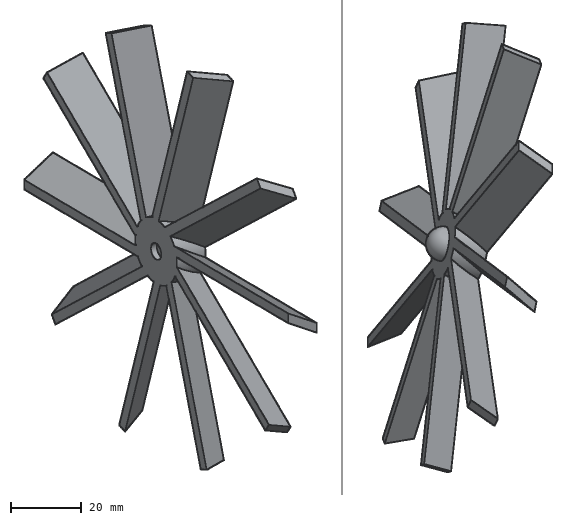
import cadquery as cq
import math

tip_radius = 63.5
blade_count = 10
blade_pitch = 30.0
blade_width = 3.0
blade_front_offset = 5.0
hub_thickness = 10.0
hub_radius = 10.0
dome_radius = 5.0
bore_diameter = 5.0
bore_depth = 2.0


def front_disc(radius, depth):
    """Cylinder on the rotor axis, from the front face rearwards."""
    return cq.Workplane("XZ").circle(radius).extrude(-depth)


def make_blade():
    """Blade along +X with a slanted parallelogram section."""
    rear_shift = hub_thickness * math.tan(math.radians(blade_pitch))
    front_top = blade_front_offset
    front_bottom = front_top - blade_width
    section = [
        (0, front_top),
        (0, front_bottom),
        (hub_thickness, front_bottom - rear_shift),
        (hub_thickness, front_top - rear_shift),
    ]
    return cq.Workplane("YZ").polyline(section).close().extrude(tip_radius)


rotor = front_disc(hub_radius, hub_thickness)
blade = make_blade()
for index in range(blade_count):
    angle = index * 360 / blade_count
    rotor = rotor.union(blade.rotate((0, 0, 0), (0, 1, 0), angle))

dome = cq.Workplane("XY").sphere(dome_radius).translate((0, hub_thickness, 0))
rotor = rotor.union(dome)

result = rotor.cut(front_disc(bore_diameter / 2, bore_depth))